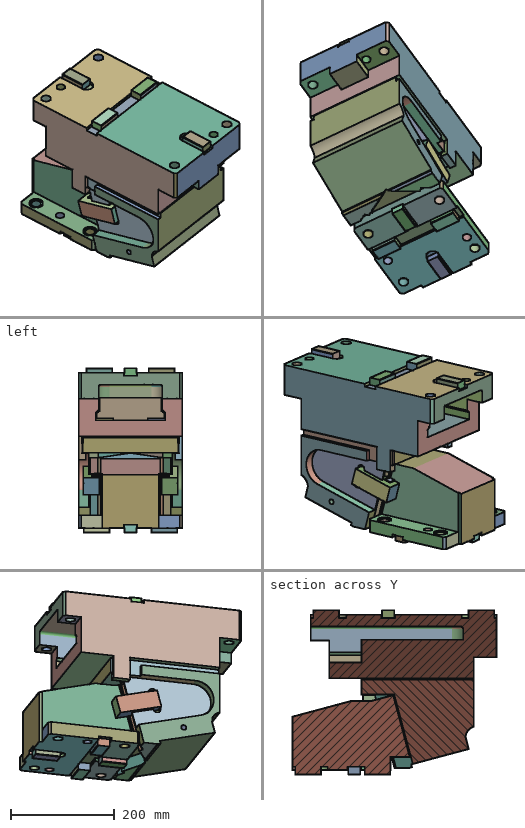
import cadquery as cq
import math


width = 200.0
half_width = width / 2
shut_height = 300.0
corner_chamfer = 5.0
slope = 15.0
slope_sin = math.sin(math.radians(slope))
slope_cos = math.cos(math.radians(slope))
slope_tan = math.tan(math.radians(slope))

bolt_diameter = 18.5
dowel_diameter = 16.5
bolt_y = 80.0

key_length = 50.0
key_width = 24.0
key_stand = 9.0
key_chamfer = 1.0
keyway_width = 25.5
keyway_depth = 6.0

face_x = 198.5
vee_half = 62.0
vee_angle = 30.0
vee_tan = math.tan(math.radians(vee_angle))
sliding_gap = 1.5


def box(x_range, y_range, z_range):
    """Axis-aligned box from three (low, high) ranges."""
    (x0, x1), (y0, y1), (z0, z1) = x_range, y_range, z_range
    return cq.Workplane("XY").box(x1 - x0, y1 - y0, z1 - z0, centered=False).translate((x0, y0, z0))


def side_prism(outline, y_range):
    """Extrude an X-Z sketch (a Workplane on 'XZ') between two Y positions."""
    y0, y1 = y_range
    return outline.extrude(y1 - y0).translate((0, y1, 0))


def both_sides(shape):
    """The shape together with its mirror image across the plane of symmetry."""
    return shape.union(shape.mirror("XZ"))


def centred(half):
    return (-half, half)


def face_x_at(z):
    """X of the flat part of the sliding face at height z."""
    return face_x - z * slope_tan


def along_sliding_face(points, low, high):
    """Prism swept along the sliding face; points are (depth into the slide, y)."""
    plane = cq.Plane(
        origin=(face_x - low * slope_sin, 0, low * slope_cos),
        xDir=(slope_cos, 0, slope_sin),
        normal=(-slope_sin, 0, slope_cos),
    )
    return cq.Workplane(plane).polyline(points).close().extrude(high - low)


def keyway(closed_end, open_end, z_range):
    """Slot along X, round at its closed end and running out at the open end."""
    radius = keyway_width / 2
    z_low, z_high = z_range
    end_centre = closed_end + math.copysign(radius, open_end - closed_end)
    round_end = cq.Workplane("XY", origin=(end_centre, 0, z_low)).circle(radius).extrude(z_high - z_low)
    return round_end.union(box(sorted((end_centre, open_end)), centred(radius), z_range))


def key(x_centre, y_centre, along_x, outward):
    """Locating key on the top (outward = 1) or bottom (outward = -1) mounting face."""
    length_x, length_y = (key_length, key_width) if along_x else (key_width, key_length)
    height = key_stand + keyway_depth
    face_z = shut_height if outward > 0 else 0.0
    z_centre = face_z + outward * (key_stand - keyway_depth) / 2
    block = cq.Workplane("XY").box(length_x, length_y, height)
    outer_face = block.faces(">Z" if outward > 0 else "<Z")
    block = outer_face.edges("|X" if along_x else "|Y").chamfer(key_chamfer)
    return block.translate((x_centre, y_centre, z_centre))


flange_front = 6.0
flange_back = 190.0
flange_height = 25.0
block_half = 57.0
block_front_half = 54.5
block_front_height = 103.0
block_top = 133.3
ramp_start = 152.0
shoulder_half = 55.5
shoulder_gap = 1.8
driver_bolts = [30.7, 165.0]
driver_spotface_diameter = 26.0
driver_spotface_depth = 2.0
driver_dowels = [(90.0, -bolt_y), (61.0, bolt_y)]
driver_cross_key_x = 119.7
driver_cross_key_y = 65.5
driver_end_keys = [30.6, 164.6]
driver_keyway_ends = [(68.0, 0.0), (128.0, flange_back)]


def make_driver():
    flange = box((flange_front, flange_back), centred(half_width), (0, flange_height))
    flange = flange.edges("|Z").chamfer(corner_chamfer)

    reach = vee_half * vee_tan
    tip_x = face_x + reach
    block = side_prism(
        cq.Workplane("XZ")
        .moveTo(0, 0)
        .lineTo(flange_back, 0)
        .lineTo(flange_back, flange_height)
        .lineTo(tip_x, flange_height)
        .lineTo(tip_x, block_top + (tip_x - ramp_start) * slope_tan)
        .lineTo(ramp_start, block_top)
        .lineTo((block_top - block_front_height) / slope_tan, block_top)
        .lineTo(0, block_front_height)
        .close(),
        centred(block_half),
    )
    for y0, y1 in ((-block_half, -block_front_half), (block_front_half, block_half)):
        block = block.cut(box((0, flange_front), (y0, y1), (0, block_top)))
    shoulder_depth = (vee_half - shoulder_half) * vee_tan - sliding_gap
    ridge = [
        (-width, -block_half),
        (-shoulder_gap, -block_half),
        (-shoulder_gap, -shoulder_half),
        (shoulder_depth, -shoulder_half),
        (reach - sliding_gap, 0),
        (shoulder_depth, shoulder_half),
        (-shoulder_gap, shoulder_half),
        (-shoulder_gap, block_half),
        (-width, block_half),
    ]
    block = block.intersect(along_sliding_face(ridge, -width, width))

    body = flange.union(block)
    bolts = [(x, y) for x in driver_bolts for y in (-bolt_y, bolt_y)]
    bottom = cq.Workplane("XY")
    ledge = cq.Workplane("XY", origin=(0, 0, flange_height))
    body = body.cut(bottom.pushPoints(bolts).circle(bolt_diameter / 2).extrude(flange_height))
    body = body.cut(bottom.pushPoints(driver_dowels).circle(dowel_diameter / 2).extrude(flange_height))
    spotfaces = ledge.pushPoints(bolts).circle(driver_spotface_diameter / 2)
    body = body.cut(spotfaces.extrude(-driver_spotface_depth))

    for closed_end, open_end in driver_keyway_ends:
        body = body.cut(keyway(closed_end, open_end, (0, keyway_depth)))
    cross = (driver_cross_key_x - keyway_width / 2, driver_cross_key_x + keyway_width / 2)
    body = body.cut(box(cross, centred(half_width), (0, keyway_depth)))
    for x in driver_end_keys:
        body = body.union(key(x, 0, True, -1))
    for y in (-driver_cross_key_y, driver_cross_key_y):
        body = body.union(key(driver_cross_key_x, y, False, -1))
    return body


slide_front = 133.3
slide_back = 351.0
slide_top = 175.0
apron_front = 169.6
head_bottom = 145.5
head_half = 92.0
core_half = 81.0
wall_front = 193.0
wall_top = 164.0
slide_bottom = 3.5
toe_end = 225.5
toe_tip = (231.5, 5.5)
belly_front = (230.0, 10.7)
belly_back_x = 341.0
notch_radius = 20.0
notch_mid_angle = 135.0
notch_low = (335.0, 63.5)
notch_high_z = 83.8

window_top = 144.0
window_radius = 36.0
window_centre_x = 302.5

side_groove_outer = 78.0
side_groove_root = 63.0
side_groove_low = 57.0
side_groove_top = 140.0

hook_length = 85.5
hook_height = 34.0
hook_inner = 60.0
hook_outer = 91.0
hook_centre = (190.0, 91.6)
hook_relief_radius = 7.5
hook_relief_depth = 10.0
hook_end_gap = 1.2
hook_tooth_start = 12.0
hook_tooth_length = 13.0
hook_tooth_height = 1.5
hook_tooth_outer = 75.0

wall_hole = (278.0, 44.0)
wall_hole_diameter = 10.0


def slide_outline(top):
    """Side outline of the slide below the given top; its front edge is the sliding face."""
    mid_angle = math.radians(notch_mid_angle)
    notch_centre = (notch_low[0] + notch_radius, notch_low[1])
    notch_mid = (
        notch_centre[0] + notch_radius * math.cos(mid_angle),
        notch_centre[1] + notch_radius * math.sin(mid_angle),
    )
    belly_back = (belly_back_x, belly_front[1] + (belly_back_x - belly_front[0]) * slope_tan)
    return (
        cq.Workplane("XZ")
        .moveTo(face_x_at(slide_bottom), slide_bottom)
        .lineTo(toe_end, slide_bottom)
        .lineTo(*toe_tip)
        .lineTo(*belly_front)
        .lineTo(*belly_back)
        .lineTo(*notch_low)
        .threePointArc(notch_mid, (slide_back, notch_high_z))
        .lineTo(slide_back, top)
        .lineTo(face_x_at(top), top)
        .close()
    )


def window_outline():
    """Side window: level top, round back and a bottom rising at the slope angle."""
    centre_z = window_top - window_radius
    arc_end = (window_centre_x + window_radius * slope_sin, centre_z - window_radius * slope_cos)
    half_turn = math.radians(slope / 2)
    arc_mid = (
        window_centre_x + window_radius * math.cos(half_turn),
        centre_z + window_radius * math.sin(half_turn),
    )
    return (
        cq.Workplane("XZ")
        .moveTo(0, window_top)
        .lineTo(window_centre_x, window_top)
        .threePointArc(arc_mid, arc_end)
        .lineTo(0, arc_end[1] - arc_end[0] * slope_tan)
        .close()
    )


def hook_plane(y):
    """Plane at the hook centre, its first axis rising at the slope angle, facing -Y."""
    return cq.Workplane(
        cq.Plane(
            origin=(hook_centre[0], y, hook_centre[1]),
            xDir=(slope_cos, 0, slope_sin),
            normal=(0, -1, 0),
        )
    )


def make_hook():
    """Return hook on the -Y side, with a low tooth on its upper face."""
    hook = hook_plane(-hook_inner).rect(hook_length, hook_height).extrude(hook_outer - hook_inner)
    tooth_centre = hook_tooth_start + (hook_tooth_length - hook_length) / 2
    tooth = (
        hook_plane(-hook_inner)
        .center(tooth_centre, hook_height / 2)
        .rect(hook_tooth_length, 2 * hook_tooth_height)
        .extrude(hook_tooth_outer - hook_inner)
    )
    return hook.union(tooth)


def make_hook_seat():
    """Seat for the hook in the slide's -Y flank, a little longer and with relieved corners."""
    relief_x = hook_length / 2 + hook_end_gap - hook_relief_radius
    corners = [(relief_x, -hook_height / 2), (relief_x, hook_height / 2)]
    reliefs = hook_plane(-core_half).pushPoints(corners).circle(hook_relief_radius)
    seat = hook_plane(-core_half).center(hook_end_gap / 2, 0).rect(hook_length + hook_end_gap, hook_height)
    return reliefs.extrude(-hook_relief_depth).union(seat.extrude(-hook_relief_depth))


def make_slide():
    head = box((slide_front, slide_back), centred(head_half), (head_bottom, slide_top))
    core = side_prism(slide_outline(head_bottom), centred(core_half))

    wall = side_prism(slide_outline(wall_top), (-half_width, -core_half))
    wall = wall.cut(box((0, wall_front), (-half_width, 0), (window_top, wall_top)))
    wall = wall.cut(side_prism(window_outline(), (-half_width, -core_half)))
    apron = box((apron_front, slide_back), (-head_half, -core_half), (window_top, head_bottom))
    body = head.union(core).union(both_sides(wall.union(apron)))

    vee = [(0, -vee_half), (vee_half * vee_tan, 0), (0, vee_half)]
    vee_cut = along_sliding_face(vee, -width, width)
    vee_cut = vee_cut.intersect(box((0, slide_back), centred(half_width), (0, head_bottom)))
    side_groove = along_sliding_face(
        [
            (0, -side_groove_outer),
            ((side_groove_outer - side_groove_root) * vee_tan, -side_groove_root),
            ((vee_half - side_groove_low) * vee_tan, -side_groove_low),
            (0, -vee_half),
        ],
        -width,
        side_groove_top,
    )
    body = body.cut(vee_cut).cut(both_sides(side_groove))

    body = body.cut(both_sides(make_hook_seat())).union(both_sides(make_hook()))

    hole_radius = wall_hole_diameter / 2
    hole = cq.Workplane(
        cq.Solid.makeCone(
            hole_radius,
            0,
            hole_radius,
            pnt=cq.Vector(wall_hole[0], -half_width, wall_hole[1]),
            dir=cq.Vector(0, 1, 0),
        )
    )
    return body.cut(both_sides(hole))


plate_front = 35.5
plate_back = 395.0
plate_front_bottom = 250.0
plate_back_bottom = 239.0
body_front = 71.0
body_back = slide_back
body_bottom = 177.0
floor_top = 207.7

leg_front = 136.5
leg_back = apron_front
leg_bottom = 131.6
leg_inner = 93.5
lip_inner = 86.5
lip_top = 144.0

stop_bottom = 217.4
stop_half = 30.0

cavity_half = 61.6
cavity_top = 277.0
cavity_back = 330.0
cavity_corner_radius = 21.5
cavity_top_radius = 5.0
cavity_foot_half = 67.5
cavity_foot_top = 227.0
cavity_foot_chamfer = 5.0

core_front = slide_front
core_top = 252.0
core_gap = 2.0
core_flange_top = 226.0
core_flange_bottom = 212.0
core_foot_half = 33.6

holder_bolt_x = [55.3, 375.3]
holder_dowels = [(holder_bolt_x[0], -35.0), (holder_bolt_x[1], 40.0)]
holder_cross_key_x = 185.3
holder_cross_key_y = 60.0
holder_end_keys = [65.4, 365.4]
holder_keyway_ends = [(104.0, plate_front), (327.5, plate_back)]


def stepped_section(x_front, half, foot_half, bottom, foot_top, top):
    """Prism along X up to the cavity's back: a narrow upper part on a wider chamfered foot."""
    chamfer = cavity_foot_chamfer
    side = [
        (foot_half, bottom),
        (foot_half, foot_top - chamfer),
        (foot_half - chamfer, foot_top),
        (half, foot_top),
        (half, top),
    ]
    points = side + [(-y, z) for y, z in reversed(side)]
    plane = cq.Workplane("YZ", origin=(x_front, 0, 0))
    return plane.polyline(points).close().extrude(cavity_back - x_front)


def make_cavity():
    """Space open to the front, with a round-cornered back and a wider foot above the floor."""
    hall = box((plate_front, cavity_back), centred(cavity_half), (floor_top, cavity_top))
    hall = hall.edges("|Z and >X").fillet(cavity_corner_radius)
    hall = hall.faces(">Z").edges("not <X").fillet(cavity_top_radius)
    foot = stepped_section(
        body_front,
        cavity_half,
        cavity_foot_half,
        floor_top,
        cavity_foot_top,
        cavity_foot_top + cavity_foot_chamfer,
    )
    return hall.union(foot)


def make_core():
    """Block standing in the cavity on a narrow foot."""
    block = stepped_section(
        core_front,
        cavity_half - core_gap,
        cavity_foot_half - core_gap,
        core_flange_bottom,
        core_flange_top,
        core_top,
    )
    return block.union(
        box((core_front, cavity_back), centred(core_foot_half), (floor_top, core_flange_bottom))
    )


def make_holder():
    plate = box((plate_front, plate_back), centred(half_width), (plate_back_bottom, shut_height))
    plate = plate.edges("|Z").chamfer(corner_chamfer)
    plate = plate.cut(
        box((plate_front, body_front), centred(half_width), (plate_back_bottom, plate_front_bottom))
    )
    trunk = box((body_front, body_back), centred(half_width), (body_bottom, plate_front_bottom))
    stop = box((body_back, plate_back), centred(stop_half), (stop_bottom, plate_back_bottom))
    leg = box((leg_front, leg_back), (-half_width, -leg_inner), (leg_bottom, body_bottom))
    lip = box((leg_front, leg_back), (-half_width, -lip_inner), (leg_bottom, lip_top))

    body = plate.union(trunk).cut(make_cavity()).union(stop)
    body = body.union(make_core()).union(both_sides(leg.union(lip)))

    top = cq.Workplane("XY", origin=(0, 0, shut_height))
    bolts = [(x, y) for x in holder_bolt_x for y in (-bolt_y, bolt_y)]
    drill_depth = shut_height - plate_back_bottom
    body = body.cut(top.pushPoints(bolts).circle(bolt_diameter / 2).extrude(-drill_depth))
    body = body.cut(top.pushPoints(holder_dowels).circle(dowel_diameter / 2).extrude(-drill_depth))

    keyway_z = (shut_height - keyway_depth, shut_height)
    for closed_end, open_end in holder_keyway_ends:
        body = body.cut(keyway(closed_end, open_end, keyway_z))
    cross = (holder_cross_key_x - keyway_width / 2, holder_cross_key_x + keyway_width / 2)
    body = body.cut(box(cross, centred(half_width), keyway_z))
    for x in holder_end_keys:
        body = body.union(key(x, 0, True, 1))
    for y in (-holder_cross_key_y, holder_cross_key_y):
        body = body.union(key(holder_cross_key_x, y, False, 1))
    return body


driver = make_driver()
slide = make_slide()
holder = make_holder()
result = cq.Compound.makeCompound([body.solids().val() for body in (driver, slide, holder)])